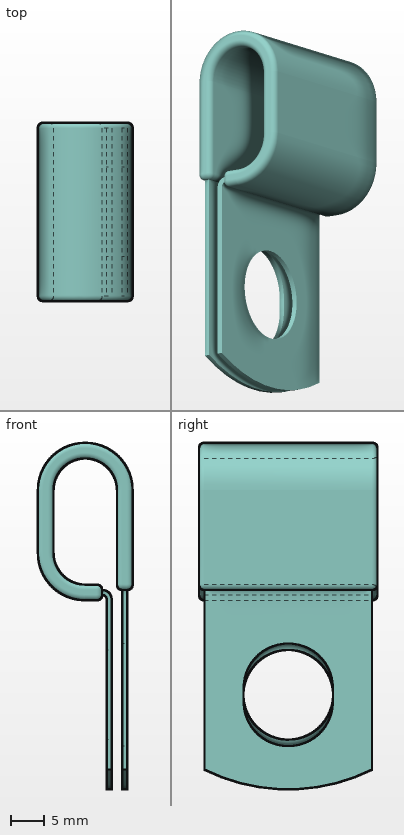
import cadquery as cq
import math

overall_height = 52.35
cushion_width = 14.35
cushion_length = 26.95
cushion_thickness = 2.4
strip_thickness = 0.8
straight_height = 9.5
right_leg_bottom = 30.1
stub_end = 2.55
strip_gap = 1.55
hole_diameter = 13.5
hole_height = 14.3
slot_stretch = 2.0
end_arc_rise = 3.0

outer_radius = cushion_width / 2
inner_radius = outer_radius - cushion_thickness
top_center = overall_height - outer_radius
bottom_center = top_center - straight_height
edge_radius = (cushion_thickness - strip_thickness) / 2
strip_length = cushion_length - 2 * edge_radius
right_strip_outer = outer_radius - edge_radius
right_strip_inner = right_strip_outer - strip_thickness
left_strip_outer = right_strip_inner - strip_gap
left_strip_inner = left_strip_outer - strip_thickness
strip_top = bottom_center - inner_radius - edge_radius
strip_bottom = strip_top - strip_thickness
bend_inner_radius = left_strip_inner - stub_end
bend_outer_radius = bend_inner_radius + strip_thickness
bend_center = strip_bottom - bend_inner_radius
half_strip = strip_length / 2
diagonal = math.sqrt(0.5)
pick_margin = 0.5


def extrude_along_y(profile, length):
    """Extrude an XZ profile centered on Y = 0."""
    return profile.extrude(length / 2, both=True)


def make_cushion():
    """Rounded-edge loop, open at its lower right corner."""
    profile = (
        cq.Workplane("XZ")
        .moveTo(outer_radius, right_leg_bottom)
        .lineTo(outer_radius, top_center)
        .threePointArc((0, overall_height), (-outer_radius, top_center))
        .lineTo(-outer_radius, bottom_center)
        .threePointArc(
            (-outer_radius * diagonal, bottom_center - outer_radius * diagonal),
            (0, bottom_center - outer_radius),
        )
        .lineTo(stub_end, bottom_center - outer_radius)
        .lineTo(stub_end, bottom_center - inner_radius)
        .lineTo(0, bottom_center - inner_radius)
        .threePointArc(
            (-inner_radius * diagonal, bottom_center - inner_radius * diagonal),
            (-inner_radius, bottom_center),
        )
        .lineTo(-inner_radius, top_center)
        .threePointArc((0, top_center + inner_radius), (inner_radius, top_center))
        .lineTo(inner_radius, right_leg_bottom)
        .close()
    )
    loop = extrude_along_y(profile, cushion_length)
    end_faces = loop.faces("<Y or >Y").edges()
    leg_end = loop.edges("|Y").edges(cq.selectors.BoxSelector(
        (inner_radius - pick_margin, -pick_margin, right_leg_bottom - pick_margin),
        (outer_radius + pick_margin, pick_margin, right_leg_bottom + pick_margin),
    ))
    stub_end_edges = loop.edges("|Y").edges(cq.selectors.BoxSelector(
        (stub_end - pick_margin, -pick_margin, bottom_center - outer_radius - pick_margin),
        (stub_end + pick_margin, pick_margin, bottom_center - inner_radius + pick_margin),
    ))
    return end_faces.add(leg_end).add(stub_end_edges).fillet(edge_radius)


def make_left_strap():
    """Strap leaving the stub and bending down; its root is buried in the cushion."""
    profile = (
        cq.Workplane("XZ")
        .moveTo(0, strip_top)
        .lineTo(stub_end, strip_top)
        .threePointArc(
            (stub_end + bend_outer_radius * diagonal, bend_center + bend_outer_radius * diagonal),
            (left_strip_outer, bend_center),
        )
        .lineTo(left_strip_outer, 0)
        .lineTo(left_strip_inner, 0)
        .lineTo(left_strip_inner, bend_center)
        .threePointArc(
            (stub_end + bend_inner_radius * diagonal, bend_center + bend_inner_radius * diagonal),
            (stub_end, strip_bottom),
        )
        .lineTo(0, strip_bottom)
        .close()
    )
    return extrude_along_y(profile, strip_length)


def make_right_strap():
    """Straight strap; its root is buried in the right leg of the cushion."""
    profile = (
        cq.Workplane("XZ")
        .moveTo(right_strip_inner, 0)
        .lineTo(right_strip_outer, 0)
        .lineTo(right_strip_outer, top_center)
        .lineTo(right_strip_inner, top_center)
        .close()
    )
    return extrude_along_y(profile, strip_length)


def make_strap_outline():
    """Solid with the straps' side outline and bowed lower end."""
    return (
        cq.Workplane("YZ")
        .moveTo(-half_strip, end_arc_rise)
        .threePointArc((0, 0), (half_strip, end_arc_rise))
        .lineTo(half_strip, overall_height)
        .lineTo(-half_strip, overall_height)
        .close()
        .extrude(cushion_width)
    )


def make_hole_cutter():
    """Round bolt hole for the left strap."""
    return cq.Workplane("YZ").center(0, hole_height).circle(hole_diameter / 2).extrude(cushion_width)


def make_slot_cutter():
    """Upright slot for the right strap, as wide as the round hole."""
    return (
        cq.Workplane("YZ")
        .center(0, hole_height)
        .slot2D(hole_diameter + slot_stretch, hole_diameter, 90)
        .extrude(cushion_width)
    )


left_strap = make_left_strap().cut(make_hole_cutter())
right_strap = make_right_strap().cut(make_slot_cutter())
straps = left_strap.union(right_strap).intersect(make_strap_outline())
result = make_cushion().union(straps)